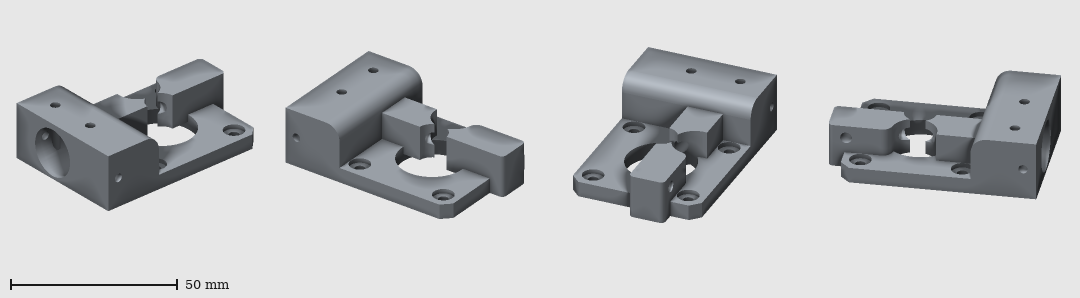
import cadquery as cq
import math

plate_width = 42.0
plate_length = 60.0
plate_thickness = 5.0
plate_corner_chamfer = 3.0

motor_x = plate_width / 2
motor_y = 39.0
pilot_diameter = 22.2
pilot_depth_under_arms = 2.5
motor_screw_spacing = 31.0
motor_screw_diameter = 3.2
screw_head_diameter = 6.8
screw_head_depth = 1.5

block_length = 20.0
block_height = 19.0
block_edge_radius = 5.0

gear_radius = 5.0
idler_radius = 7.0
gear_idler_distance = 11.0
idler_x = motor_x - gear_idler_distance

filament_x = 16.5
filament_z = 9.0
filament_hole_diameter = 4.2
filament_hole_reach = 14.0

arm_left_x = filament_x - 7.5
arm_right_x = filament_x + 4.0
arm_top_z = 14.0
arm_end_y = 65.0
arm_end_radius = 1.5
arm_idler_radius = 3.0

bore_diameter = 16.0
bore_depth = 15.0
clamp_hole_diameter = 3.2
clamp_hole_y = 8.0
side_hole_diameter = 2.8
side_hole_y = 4.0

arm_hole_diameter = 3.6
arm_hole_depth = 8.0
arm_hole_y = 59.5
cross_hole_z = 10.0


def box_between(x0, x1, y0, y1, height):
    """Box standing on z = 0."""
    return cq.Workplane("XY").box(x1 - x0, y1 - y0, height, centered=False).translate((x0, y0, 0))


def hole_along_x(x, y, z, diameter, depth):
    return cq.Workplane("YZ", origin=(x, y, z)).circle(diameter / 2).extrude(depth)


def hole_along_y(x, y, z, diameter, depth):
    return cq.Workplane("XZ", origin=(x, y, z)).circle(diameter / 2).extrude(-depth)


def post(x, y, z, radius, height):
    """Upright cylinder starting at height z."""
    return cq.Workplane("XY", origin=(x, y, z)).circle(radius).extrude(height)


def motor_plate():
    plate = box_between(0, plate_width, 0, plate_length, plate_thickness)
    plate = plate.edges("|Z and >Y").chamfer(plate_corner_chamfer)
    return plate.cut(post(motor_x, motor_y, 0, pilot_diameter / 2, plate_thickness))


def hot_end_block():
    block = box_between(0, plate_width, 0, block_length, block_height)
    return block.edges(">Y and >Z").fillet(block_edge_radius)


def near_arm():
    return box_between(arm_left_x, arm_right_x, block_length, motor_y, arm_top_z)


def far_arm():
    """Arm outline whose left side blends tangentially into the idler clearance."""
    blend_x = arm_left_x + arm_idler_radius
    center_distance = idler_radius + arm_idler_radius
    blend_y = motor_y + math.sqrt(center_distance**2 - (blend_x - idler_x) ** 2)
    idler_share = idler_radius / center_distance
    tangent_x = idler_x + (blend_x - idler_x) * idler_share
    tangent_y = motor_y + (blend_y - motor_y) * idler_share
    start_angle = math.pi
    end_angle = math.atan2(tangent_y - blend_y, tangent_x - blend_x) + 2 * math.pi
    middle_angle = (start_angle + end_angle) / 2
    middle_x = blend_x + arm_idler_radius * math.cos(middle_angle)
    middle_y = blend_y + arm_idler_radius * math.sin(middle_angle)
    arm = (
        cq.Workplane("XY")
        .moveTo(arm_left_x, arm_end_y)
        .lineTo(arm_left_x, blend_y)
        .threePointArc((middle_x, middle_y), (tangent_x, tangent_y))
        .lineTo(tangent_x, motor_y)
        .lineTo(arm_right_x, motor_y)
        .lineTo(arm_right_x, arm_end_y)
        .close()
        .extrude(arm_top_z)
    )
    return arm.edges("|Z and >Y").fillet(arm_end_radius)


def guide_arms():
    """Both arms, hollowed for the wheels; they reach into the pilot hole of the plate."""
    arms = near_arm().union(far_arm())
    for x, radius in ((motor_x, gear_radius), (idler_x, idler_radius)):
        arms = arms.cut(post(x, motor_y, 0, radius, arm_top_z))
    return arms.cut(post(motor_x, motor_y, 0, pilot_diameter / 2, pilot_depth_under_arms))


def cut_motor_screw_holes(body):
    half_spacing = motor_screw_spacing / 2
    head_z = plate_thickness - screw_head_depth
    for x in (motor_x - half_spacing, motor_x + half_spacing):
        for y in (motor_y - half_spacing, motor_y + half_spacing):
            body = body.cut(post(x, y, 0, motor_screw_diameter / 2, plate_thickness))
            body = body.cut(post(x, y, head_z, screw_head_diameter / 2, screw_head_depth))
    return body


def cut_filament_path(body):
    start_y = motor_y - filament_hole_reach
    length = 2 * filament_hole_reach
    body = body.cut(hole_along_y(filament_x, start_y, filament_z, filament_hole_diameter, length))
    return body.cut(hole_along_y(filament_x, 0, filament_z, bore_diameter, bore_depth))


def cut_screw_holes(body):
    for x in (filament_x - bore_diameter / 2, filament_x + bore_diameter / 2):
        body = body.cut(post(x, clamp_hole_y, 0, clamp_hole_diameter / 2, block_height))
    body = body.cut(hole_along_x(0, side_hole_y, cross_hole_z, side_hole_diameter, plate_width))
    return body.cut(hole_along_x(arm_left_x, arm_hole_y, cross_hole_z, arm_hole_diameter, arm_hole_depth))


body = motor_plate().union(hot_end_block()).union(guide_arms())
body = cut_motor_screw_holes(body)
body = cut_filament_path(body)
result = cut_screw_holes(body)